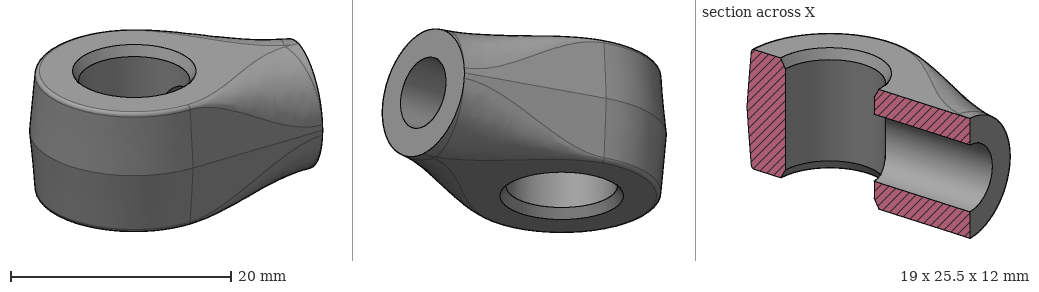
import cadquery as cq
import math

ring_radius = 9.5
half_thickness = 6.0
draft_angle = 5.0
ring_edge_radius = 0.4
bore_diameter = 10.1
bore_chamfer_width = 0.55
bore_chamfer_angle = 30.0
bore_chamfer_depth = bore_chamfer_width / math.tan(math.radians(bore_chamfer_angle))

neck_end_y = 16.0
neck_end_radius = half_thickness
thread_hole_diameter = 6.65

neck_end_half_width = neck_end_radius / math.cos(math.radians(draft_angle))
end_distance = math.hypot(neck_end_half_width, neck_end_y)
flank_angle = math.atan2(neck_end_y, neck_end_half_width) - math.acos(ring_radius / end_distance)

overlap = 3.0


def ring_point(angle):
    """Point on the ring outline at an angle from +X."""
    return ring_radius * math.cos(angle), ring_radius * math.sin(angle)


def drafted_quarter():
    """Upper right quarter with sharp edges and stock beyond X = 0 and the neck end face."""
    start_angle = -math.pi / 2 - math.asin(overlap / ring_radius)
    middle_angle = (start_angle + flank_angle) / 2
    stock_x = neck_end_half_width - overlap * math.tan(flank_angle)
    stock_y = neck_end_y + overlap
    return (
        cq.Workplane("XY")
        .moveTo(*ring_point(start_angle))
        .threePointArc(ring_point(middle_angle), ring_point(flank_angle))
        .lineTo(neck_end_half_width, neck_end_y)
        .lineTo(stock_x, stock_y)
        .lineTo(-overlap, stock_y)
        .close()
        .extrude(half_thickness, taper=draft_angle, clean=False)
    )


def rounded_quarter():
    """Quarter whose edge rounding grows from the ring rim to the round neck end."""
    quarter = drafted_quarter()
    flank_middle = (neck_end_half_width, neck_end_y / 2, half_thickness)
    neck_edge = quarter.faces(">Z").edges(cq.NearestToPointSelector(flank_middle)).val()
    if neck_edge.startPoint().y < neck_edge.endPoint().y:
        radii = (ring_edge_radius, neck_end_radius)
    else:
        radii = (neck_end_radius, ring_edge_radius)
    fillet = cq.occ_impl.shapes.BRepFilletAPI_MakeFillet(quarter.val().wrapped)
    fillet.Add(*radii, neck_edge.wrapped)
    return cq.Workplane(cq.Shape.cast(fillet.Shape()))


def body():
    """Rounded quarter trimmed at X = 0 and the neck end face, then mirrored across YZ and XY."""
    upper_right_space = cq.Workplane("XY").box(
        ring_radius, 2 * neck_end_y, half_thickness, centered=(False, True, False)
    )
    quarter = rounded_quarter().intersect(upper_right_space)
    upper_half = quarter.union(quarter.mirror("YZ"))
    return upper_half.union(upper_half.mirror("XY"))


def bore():
    """Through bore along Z with a chamfer at each mouth."""
    radius = bore_diameter / 2
    mouth_radius = radius + bore_chamfer_width
    return (
        cq.Workplane("XZ")
        .moveTo(0, -half_thickness)
        .lineTo(mouth_radius, -half_thickness)
        .lineTo(radius, bore_chamfer_depth - half_thickness)
        .lineTo(radius, half_thickness - bore_chamfer_depth)
        .lineTo(mouth_radius, half_thickness)
        .lineTo(0, half_thickness)
        .close()
        .revolve(360, (0, 0, 0), (0, 1, 0))
    )


def thread_hole():
    """Hole along the neck axis from the end face into the bore."""
    return cq.Workplane("XZ").circle(thread_hole_diameter / 2).extrude(-neck_end_y)


result = body().cut(bore()).cut(thread_hole())